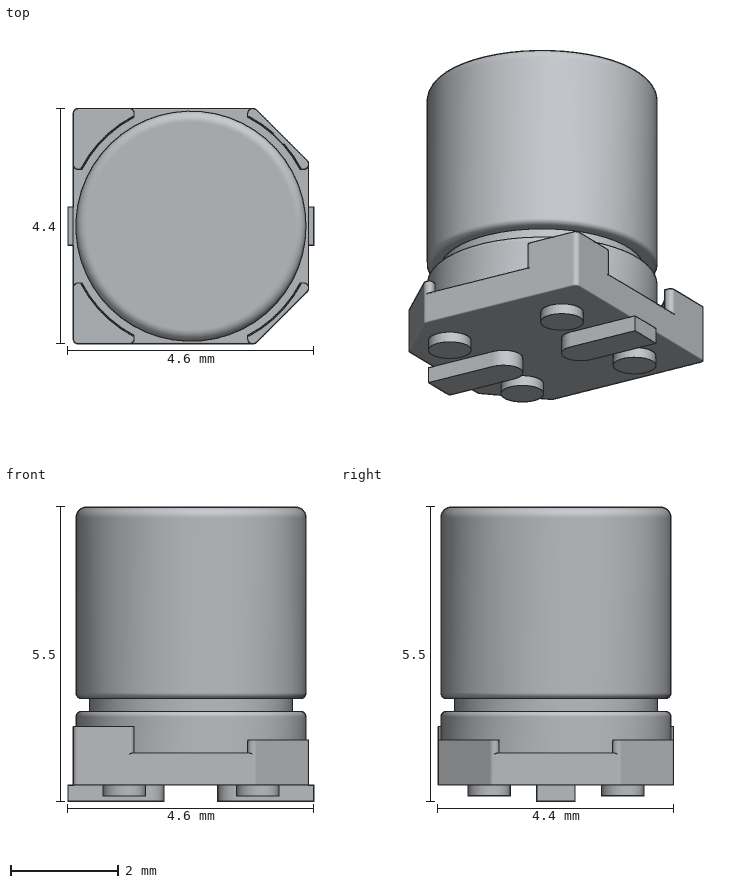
import cadquery as cq

foot_bottom_z = 0.105
base_bottom_z = 0.3
rim_z = 0.9
short_post_z = 1.15
tall_post_z = 1.4
groove_bottom_z = 1.685
groove_top_z = 1.92
total_height = 5.5

can_diameter = 4.3
groove_diameter = 3.8
top_round = 0.2
lip_round = 0.105

base_side = 4.4
corner_chamfer = 1.0
post_inner_diameter = 4.6
notch_width = 2.125
vertical_round = 0.095
edge_round = 0.02

foot_diameter = 0.8
foot_offset = 1.25
terminal_span = 4.6
terminal_width = 0.72
terminal_inner_x = 0.5

half_side = base_side / 2


def base_blank(bottom_z, top_z):
    """Square prism with both +X corners cut off, before any rounding."""
    cut = half_side - corner_chamfer
    outline = [
        (-half_side, -half_side), (cut, -half_side), (half_side, -cut),
        (half_side, cut), (cut, half_side), (-half_side, half_side),
    ]
    return cq.Workplane("XY", origin=(0, 0, bottom_z)).polyline(outline).close().extrude(top_z - bottom_z)


def make_slab():
    """Low part of the base, with rounded corners and rounded top and bottom edges."""
    slab = base_blank(base_bottom_z, rim_z).edges("|Z").fillet(vertical_round)
    return slab.faces("<Z or >Z").edges().fillet(edge_round)


def make_post(x_sign, y_sign, top_z):
    """Corner post left standing between two side notches and the round clearance of the can."""
    bottom_z = (base_bottom_z + rim_z) / 2
    notch_edge = notch_width / 2
    reach = half_side - notch_edge
    middle = notch_edge + reach / 2
    corner = (
        cq.Workplane("XY", origin=(x_sign * middle, y_sign * middle, bottom_z))
        .rect(reach, reach)
        .extrude(top_z - bottom_z)
    )
    post = base_blank(bottom_z, top_z).intersect(corner).edges("|Z").fillet(vertical_round)
    clearance = cq.Workplane("XY").circle(post_inner_diameter / 2).extrude(total_height)
    post = post.cut(clearance)
    return post.faces(">Z").edges().fillet(edge_round)


def make_base():
    """Moulded base with tall posts at -X and shorter ones at the cut +X corners."""
    base = make_slab()
    for x_sign, top_z in ((-1, tall_post_z), (1, short_post_z)):
        for y_sign in (-1, 1):
            base = base.union(make_post(x_sign, y_sign, top_z))
    return base


def make_can():
    """Cylindrical can with a rounded top and a crimp groove with rounded lips."""
    lower = (
        cq.Workplane("XY", origin=(0, 0, base_bottom_z + edge_round))
        .circle(can_diameter / 2)
        .extrude(groove_bottom_z - base_bottom_z - edge_round)
        .faces(">Z").edges().fillet(lip_round)
    )
    neck = (
        cq.Workplane("XY", origin=(0, 0, rim_z))
        .circle(groove_diameter / 2)
        .extrude((groove_top_z + total_height) / 2 - rim_z)
    )
    upper = (
        cq.Workplane("XY", origin=(0, 0, groove_top_z))
        .circle(can_diameter / 2)
        .extrude(total_height - groove_top_z)
        .faces("<Z").edges().fillet(lip_round)
        .faces(">Z").edges().fillet(top_round)
    )
    return lower.union(neck).union(upper)


def make_feet():
    """Four round stand-off feet under the base."""
    return (
        cq.Workplane("XY", origin=(0, 0, foot_bottom_z))
        .rect(2 * foot_offset, 2 * foot_offset, forConstruction=True)
        .vertices()
        .circle(foot_diameter / 2)
        .extrude(base_bottom_z - foot_bottom_z)
    )


def make_terminal(x_sign):
    """Flat terminal strip with a square outer end and a half-round inner end."""
    radius = terminal_width / 2
    outer_x = x_sign * terminal_span / 2
    round_start_x = x_sign * (terminal_inner_x + radius)
    return (
        cq.Workplane("XY")
        .moveTo(outer_x, -radius)
        .lineTo(round_start_x, -radius)
        .threePointArc((x_sign * terminal_inner_x, 0), (round_start_x, radius))
        .lineTo(outer_x, radius)
        .close()
        .extrude(base_bottom_z)
    )


result = make_base().union(make_can()).union(make_feet())
for side in (-1, 1):
    result = result.union(make_terminal(side))